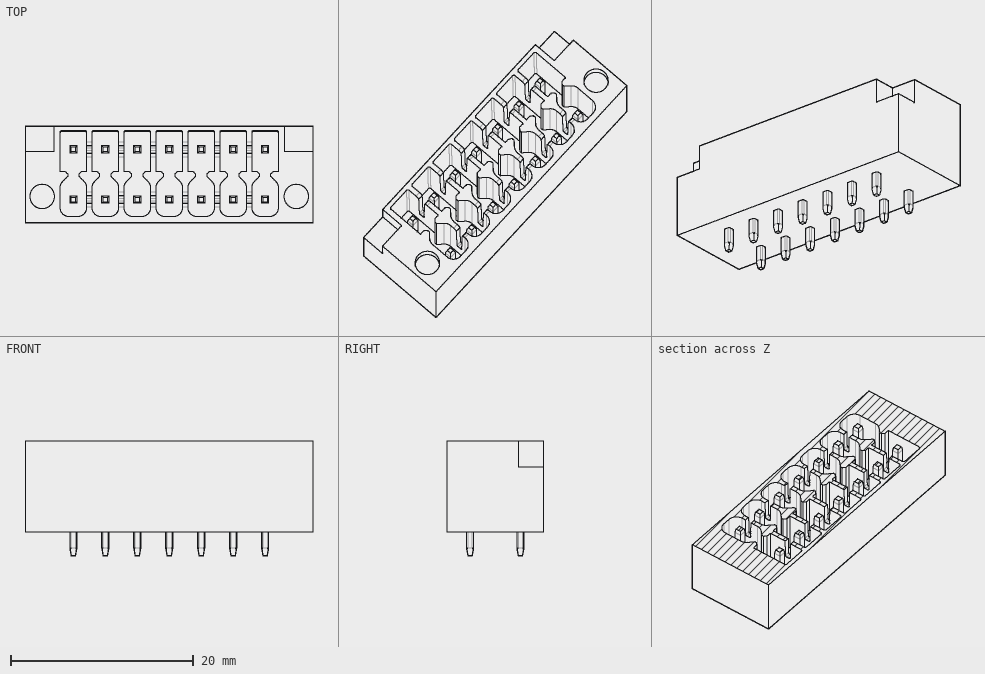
import cadquery as cq
import math

length = 31.5
width = 10.6
overall_height = 12.6
pin_drop = 2.6
height = overall_height - pin_drop

notch_length = 3.15
notch_width = 2.77
notch_depth = 2.85

hole_diameter = 2.68
hole_end_distance = 1.83
hole_y = 2.9
hole_depth = 1.3

position_count = 7
row_length = 21.0
pitch = row_length / (position_count - 1)
front_row_y = 2.55
row_spacing = 5.5
row_ys = [front_row_y, front_row_y + row_spacing]
position_xs = [i * pitch - row_length / 2 for i in range(position_count)]

pocket_width = 2.93
pocket_depth = 8.0
pocket_front_y = 0.7
pocket_back_y = 10.1
back_wall_slope = 0.1
shoulder_y = 5.65
shoulder_length = 0.57
key_bevel = 0.28
key_tip_width = 0.25
key_root_radius = 1.0
front_corner_radius = 1.0
back_corner_radius = 0.2
edge_search = 0.13

slot_top_width = 0.88
slot_floor_width = 0.65
slot_depth = 5.67
slot_rim_radius = 0.38
slot_floor_radius = 0.2

pin_width = 0.8
tail_edge_radius = 0.15
pin_tip_width = 0.47
pin_point_length = 0.88
contact_top_z = height - 3.0


def make_housing():
    block = cq.Workplane("XY").box(length, width, height, centered=(True, False, False))
    notch = cq.Workplane("XY").box(notch_length, notch_width, notch_depth, centered=False)
    notch = notch.translate((length / 2 - notch_length, width - notch_width, height - notch_depth))
    block = block.cut(notch).cut(notch.mirror("YZ"))

    hole_x = length / 2 - hole_end_distance
    holes = (
        cq.Workplane("XY", origin=(0, 0, height))
        .pushPoints([(-hole_x, hole_y), (hole_x, hole_y)])
        .circle(hole_diameter / 2)
        .extrude(-hole_depth)
    )
    return block.cut(holes)


def make_pocket():
    """One pocket centred on X = 0."""
    half = pocket_width / 2
    shoulder_x = half - shoulder_length
    key_x = shoulder_x - key_bevel
    key_rear_y = shoulder_y - key_bevel
    key_front_y = key_rear_y - key_tip_width
    key_root_y = key_front_y - (half - key_x)
    right_side = [
        (half, pocket_front_y),
        (half, key_root_y),
        (key_x, key_front_y),
        (key_x, key_rear_y),
        (shoulder_x, shoulder_y),
        (half, shoulder_y),
        (half, pocket_back_y),
    ]
    left_side = [(-x, y) for x, y in reversed(right_side)]
    floor_z = height - pocket_depth
    pocket = (
        cq.Workplane("XY", origin=(0, 0, floor_z))
        .polyline(right_side + left_side)
        .close()
        .extrude(pocket_depth)
    )

    wedge = (
        cq.Workplane("YZ", origin=(-half, 0, 0))
        .polyline([
            (pocket_back_y, height),
            (pocket_back_y, floor_z),
            (pocket_back_y - back_wall_slope, floor_z),
        ])
        .close()
        .extrude(pocket_width)
    )
    pocket = pocket.cut(wedge)

    def round_edges(solid, y, radius):
        """Round the two upright edges on the pocket's side walls near the given Y."""
        corners = cq.selectors.BoxSelector(
            (-half - edge_search, y - edge_search, floor_z),
            (half + edge_search, y + edge_search, height),
        )
        return solid.edges("not #Z").edges(corners).fillet(radius)

    pocket = round_edges(pocket, pocket_front_y, front_corner_radius)
    pocket = round_edges(pocket, key_root_y, key_root_radius)
    return round_edges(pocket, pocket_back_y, back_corner_radius)


def make_wall_slot():
    """Cutter for one wall slot, centred on X = 0 and Y = 0, with a rounded rim and floor."""
    half_top = slot_top_width / 2
    half_floor = slot_floor_width / 2
    floor_z = height - slot_depth
    wall = pitch - pocket_width
    slot = (
        cq.Workplane("YZ", origin=(-wall / 2, 0, 0))
        .polyline([
            (-half_top, height),
            (-half_floor, floor_z),
            (half_floor, floor_z),
            (half_top, height),
        ])
        .close()
        .extrude(wall)
        .edges("|X and <Z")
        .fillet(slot_floor_radius)
    )
    rim_y = half_top + slot_rim_radius
    rim_z = height - slot_rim_radius
    rim = (
        cq.Workplane("YZ", origin=(-wall / 2, 0, 0))
        .moveTo(-rim_y, height)
        .radiusArc((-half_top, rim_z), slot_rim_radius)
        .lineTo(half_top, rim_z)
        .radiusArc((rim_y, height), slot_rim_radius)
        .close()
        .extrude(wall)
    )
    return slot.union(rim)


def make_bar(bar_length):
    """A square bar rising from Z = 0 with a pyramid-shaped point at its top."""
    point_taper = math.degrees(math.atan2((pin_width - pin_tip_width) / 2, pin_point_length))
    return (
        cq.Workplane("XY")
        .rect(pin_width, pin_width)
        .extrude(bar_length - pin_point_length)
        .faces(">Z")
        .workplane()
        .rect(pin_width, pin_width)
        .extrude(pin_point_length, taper=point_taper)
    )


def make_pin():
    """One pin centred on X = 0 and Y = 0, its contact and tail meeting at the housing underside."""
    rounded_bar = (
        cq.Workplane("XY")
        .rect(pin_width, pin_width)
        .extrude(pin_drop)
        .edges("|Z")
        .fillet(tail_edge_radius)
    )
    tail = make_bar(pin_drop).intersect(rounded_bar).mirror("XY")
    return make_bar(contact_top_z).union(tail)


result = make_housing()

pocket = make_pocket()
for x in position_xs:
    result = result.cut(pocket.translate((x, 0, 0)))

wall_slot = make_wall_slot()
for x in position_xs[:-1]:
    for y in row_ys:
        result = result.cut(wall_slot.translate((x + pitch / 2, y, 0)))

pin = make_pin()
for x in position_xs:
    for y in row_ys:
        result = result.union(pin.translate((x, y, 0)))